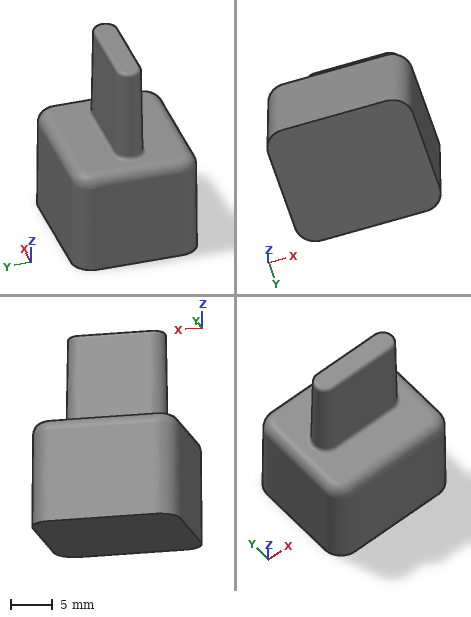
import cadquery as cq

total_height = 24.9
base_length = 18.15
base_width = 15.7
base_height = 12.92
base_corner_radius = 2.55
base_draft = 0.5
base_top_fillet = 1.5

plug_length = 12.43
plug_thickness = 3.44
plug_height = total_height - base_height
plug_draft = 1.0
plug_tip_fillet = 0.47
plug_root_fillet = 0.5


def make_base():
    """Drafted block with rounded corners and a rounded top edge."""
    outline = cq.Sketch().rect(base_length, base_width).vertices().fillet(base_corner_radius)
    block = cq.Workplane("XY").placeSketch(outline).extrude(base_height, taper=base_draft)
    return block.faces(">Z").edges().fillet(base_top_fillet)


def make_plug():
    """Drafted tongue with full-round ends and a softened tip."""
    tongue = (
        cq.Workplane("XY")
        .workplane(offset=base_height)
        .slot2D(plug_length, plug_thickness)
        .extrude(plug_height, taper=plug_draft)
    )
    return tongue.faces(">Z").edges().fillet(plug_tip_fillet)


root_box = cq.selectors.BoxSelector(
    (-plug_length / 2, -plug_thickness / 2, base_height - plug_root_fillet),
    (plug_length / 2, plug_thickness / 2, base_height + plug_root_fillet),
    boundingbox=False,
)

body = make_base().union(make_plug())
result = body.edges(root_box).fillet(plug_root_fillet)